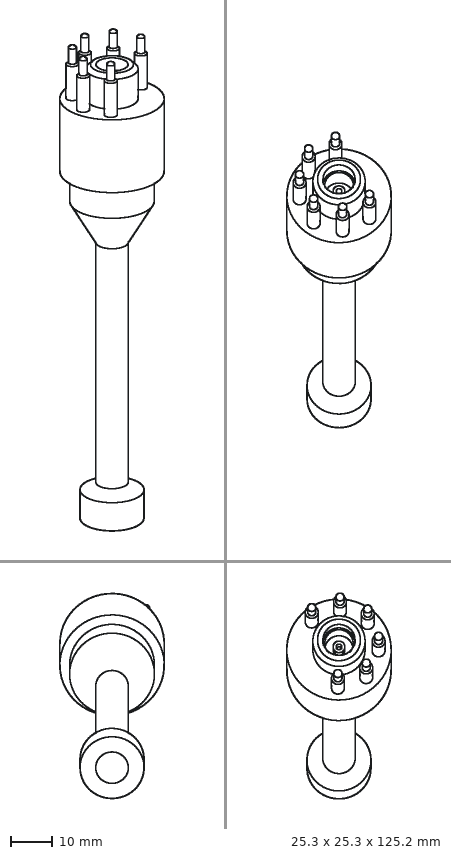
import cadquery as cq
import math

FERRULE_EDGE_Z = 7.5
FERRULE_TOP_Z = 9.5
RELIEF_BOTTOM_Z = 73.1
RELIEF_SHOULDER_Z = 84.0
BASE_BOTTOM_Z = 91.9
BASE_TOP_Z = 111.2
BOSS_TOP_Z = 120.2
PIN_TOP_Z = 125.2

FERRULE_DIAMETER = 15.5
CABLE_DIAMETER = 7.9
RELIEF_DIAMETER = 20.5
BASE_DIAMETER = 25.3
BOSS_DIAMETER = 12.6
BOSS_CHAMFER = 1.1

SOCKET_DIAMETER = 7.8
SOCKET_DEPTH = 3.3
SOCKET_BORE_DIAMETER = 6.9
SOCKET_FLOOR_Z = BASE_TOP_Z

CONTACT_DIAMETER = 2.9
CONTACT_BORE_DIAMETER = 1.4
CONTACT_HEIGHT = 2.5

PIN_DIAMETER = 3.1
TIP_DIAMETER = 2.0
TIP_DOME_HEIGHT = 0.6
PIN_SHOULDER_RISE = 0.4
PIN_SHOULDER_Z = BOSS_TOP_Z
PIN_CIRCLE_DIAMETER = 19.2
PIN_SEAT_DEPTH = 3.8
PIN_SPACING = 45.0
FIRST_PIN_ANGLE = 112.5
PIN_COUNT = 6


def cylinder(diameter, bottom, top):
    return cq.Workplane("XY").workplane(offset=bottom).circle(diameter / 2).extrude(top - bottom)


def revolved(points):
    return cq.Workplane("XZ").polyline(points).close().revolve(360, (0, 0), (0, 1))


def pin_position(index):
    radius = PIN_CIRCLE_DIAMETER / 2
    angle = math.radians(FIRST_PIN_ANGLE + index * PIN_SPACING)
    return (radius * math.cos(angle), radius * math.sin(angle), 0)


def make_pin():
    seat = BASE_TOP_Z - PIN_SEAT_DEPTH
    pin_radius = PIN_DIAMETER / 2
    tip_radius = TIP_DIAMETER / 2
    dome_base = PIN_TOP_Z - TIP_DOME_HEIGHT
    dome_radius = (tip_radius**2 + TIP_DOME_HEIGHT**2) / (2 * TIP_DOME_HEIGHT)
    half_angle = math.asin(tip_radius / dome_radius) / 2
    dome_middle = (
        dome_radius * math.sin(half_angle),
        PIN_TOP_Z - dome_radius * (1 - math.cos(half_angle)),
    )
    profile = (
        cq.Workplane("XZ")
        .moveTo(0, seat)
        .lineTo(pin_radius, seat)
        .lineTo(pin_radius, PIN_SHOULDER_Z)
        .lineTo(tip_radius, PIN_SHOULDER_Z + PIN_SHOULDER_RISE)
        .lineTo(tip_radius, dome_base)
        .threePointArc(dome_middle, (0, PIN_TOP_Z))
        .close()
    )
    return profile.revolve(360, (0, 0), (0, 1))


def make_base():
    body = cylinder(BASE_DIAMETER, BASE_BOTTOM_Z, BASE_TOP_Z)
    boss = cylinder(BOSS_DIAMETER, BASE_TOP_Z, BOSS_TOP_Z).faces(">Z").chamfer(BOSS_CHAMFER)
    body = body.union(boss)
    body = body.cut(cylinder(SOCKET_DIAMETER, BOSS_TOP_Z - SOCKET_DEPTH, BOSS_TOP_Z))
    body = body.cut(cylinder(SOCKET_BORE_DIAMETER, SOCKET_FLOOR_Z, BOSS_TOP_Z))
    contact_top = SOCKET_FLOOR_Z + CONTACT_HEIGHT
    body = body.union(cylinder(CONTACT_DIAMETER, SOCKET_FLOOR_Z, contact_top))
    body = body.cut(cylinder(CONTACT_BORE_DIAMETER, SOCKET_FLOOR_Z, contact_top))
    for index in range(PIN_COUNT):
        seat = cylinder(PIN_DIAMETER, BASE_TOP_Z - PIN_SEAT_DEPTH, BASE_TOP_Z)
        body = body.cut(seat.translate(pin_position(index)))
    return body


def make_relief():
    cable_radius = CABLE_DIAMETER / 2
    return revolved([
        (cable_radius, RELIEF_BOTTOM_Z),
        (RELIEF_DIAMETER / 2, RELIEF_SHOULDER_Z),
        (RELIEF_DIAMETER / 2, BASE_BOTTOM_Z),
        (cable_radius, BASE_BOTTOM_Z),
    ])


def make_ferrule():
    cable_radius = CABLE_DIAMETER / 2
    return revolved([
        (cable_radius, 0),
        (FERRULE_DIAMETER / 2, 0),
        (FERRULE_DIAMETER / 2, FERRULE_EDGE_Z),
        (cable_radius, FERRULE_TOP_Z),
    ])


def make_cable():
    return cylinder(CABLE_DIAMETER, 0, BASE_BOTTOM_Z)


base = make_base()
relief = make_relief()
cable = make_cable()
ferrule = make_ferrule()
pins = [make_pin().translate(pin_position(index)) for index in range(PIN_COUNT)]

result = cq.Compound.makeCompound([
    base.val(),
    relief.val(),
    cable.val(),
    ferrule.val(),
    *[pin.val() for pin in pins],
])